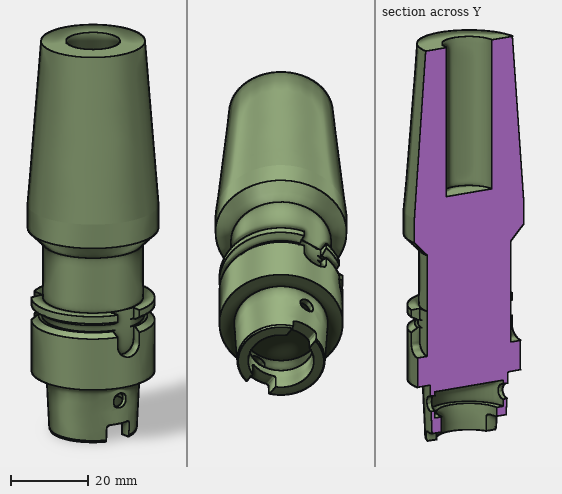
import cadquery as cq
import math


nose_top_z = 90.0
nose_top_radius = 13.5
nose_radius = 17.0
nose_cone_bottom_z = 45.5
nose_band_bottom_z = 39.0
neck_radius = 13.0
neck_top_z = nose_band_bottom_z - (nose_radius - neck_radius)
bore_radius = 7.0
bore_depth = 40.0

flange_radius = 16.0
flange_height = 20.0
groove_center_z = 16.0
groove_mouth_half_width = 2.1
groove_floor_half_width = 1.0
groove_floor_radius = 13.25
groove_flank_angle = math.radians(30)
groove_flank_depth = (groove_mouth_half_width - groove_floor_half_width) / math.tan(groove_flank_angle)
groove_shoulder_radius = flange_radius - groove_flank_depth

slot_width = 7.0
slot_bottom_z = 8.0
drive_slot_floor_x = neck_radius
notch_edge = 9.4

shank_length = 16.0
shank_taper = 0.05
shank_gauge_radius = 12.0
shank_gauge_depth = 3.2
shank_top_radius = shank_gauge_radius + shank_taper * shank_gauge_depth
shank_chamfer_width = 0.3
shank_chamfer_height = 0.6
mouth_radius = 8.5
clamp_recess_radius = 10.5
clamp_recess_bottom_z = -8.9
clamp_recess_top_z = -2.0
key_slot_width = 7.2
key_slot_height = 2.9
deep_key_slot_height = 4.6
key_slot_corner_radius = 0.8
cross_hole_radius = 2.0
cross_hole_z = -5.0


def shank_radius(depth):
    """Outer radius of the tapered shank at a depth below the flange face."""
    return shank_top_radius - shank_taper * depth


def turned_body():
    chamfer_top = shank_length - shank_chamfer_height
    profile = [
        (0, -shank_length),
        (shank_radius(chamfer_top) - shank_chamfer_width, -shank_length),
        (shank_radius(chamfer_top), -chamfer_top),
        (shank_top_radius, 0),
        (flange_radius, 0),
        (flange_radius, groove_center_z - groove_mouth_half_width),
        (groove_shoulder_radius, groove_center_z - groove_floor_half_width),
        (groove_floor_radius, groove_center_z - groove_floor_half_width),
        (groove_floor_radius, groove_center_z + groove_floor_half_width),
        (groove_shoulder_radius, groove_center_z + groove_floor_half_width),
        (flange_radius, groove_center_z + groove_mouth_half_width),
        (flange_radius, flange_height),
        (neck_radius, flange_height),
        (neck_radius, neck_top_z),
        (nose_radius, nose_band_bottom_z),
        (nose_radius, nose_cone_bottom_z),
        (nose_top_radius, nose_top_z),
        (0, nose_top_z),
    ]
    return cq.Workplane("XZ").polyline(profile).close().revolve(360, (0, 0), (0, 1))


def flange_slot(side, floor_x, center_y):
    """Slot cut inward along X on one side (+1 or -1), open at the flange top."""
    end_radius = slot_width / 2
    arc_center_z = slot_bottom_z + end_radius
    return (
        cq.Workplane("YZ")
        .workplane(offset=side * floor_x)
        .moveTo(center_y - end_radius, flange_height)
        .lineTo(center_y - end_radius, arc_center_z)
        .threePointArc((center_y, slot_bottom_z), (center_y + end_radius, arc_center_z))
        .lineTo(center_y + end_radius, flange_height)
        .close()
        .extrude(side * flange_radius)
    )


def key_slot(side, height):
    """Slot through the shank wall at its lower end, with rounded upper corners."""
    return (
        cq.Workplane("XY")
        .box(shank_top_radius, key_slot_width, height, centered=(False, True, False))
        .edges("|X and >Z")
        .fillet(key_slot_corner_radius)
        .translate((0, 0, -shank_length))
        .rotate((0, 0, 0), (0, 0, 1), 0 if side > 0 else 180)
    )


def cross_hole():
    return (
        cq.Workplane("YZ")
        .center(0, cross_hole_z)
        .circle(cross_hole_radius)
        .extrude(shank_top_radius, both=True)
    )


def round_cavity(radius, bottom_z, top_z):
    return cq.Workplane("XY").workplane(offset=bottom_z).circle(radius).extrude(top_z - bottom_z)


tool_bore = round_cavity(bore_radius, nose_top_z - bore_depth, nose_top_z)
shank_mouth = round_cavity(mouth_radius, -shank_length, clamp_recess_bottom_z)
clamp_recess = round_cavity(clamp_recess_radius, clamp_recess_bottom_z, clamp_recess_top_z)

result = turned_body()
for cutter in (tool_bore, shank_mouth, clamp_recess, cross_hole()):
    result = result.cut(cutter)
for side in (-1, 1):
    result = result.cut(flange_slot(side, drive_slot_floor_x, 0))
result = result.cut(flange_slot(-1, notch_edge, -notch_edge - slot_width / 2))
result = result.cut(key_slot(-1, key_slot_height))
result = result.cut(key_slot(1, deep_key_slot_height))